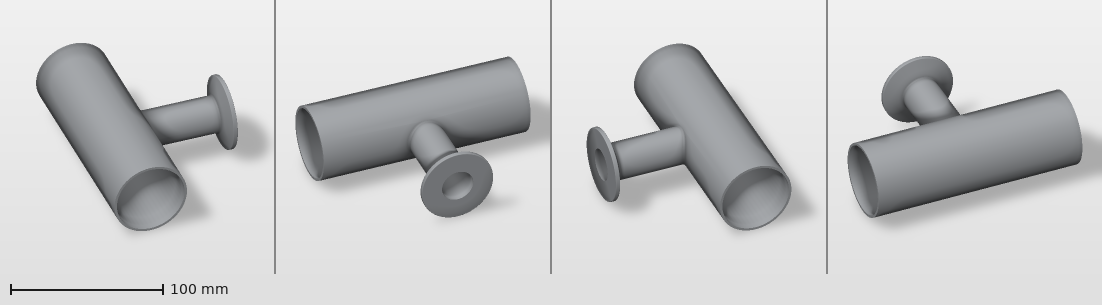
import cadquery as cq
import math

run_length = 146.0
run_outer_d = 50.8
run_inner_d = 47.5

branch_outer_d = 25.4
branch_inner_d = 22.0
branch_reach = 79.3
junction_fillet = 1.5

ferrule_length = 12.7
flange_d = 50.4
flange_rim = 2.9
flange_angle = 20.0
flange_edge_fillet = 0.5
neck_fillet = 1.2
circle_pick_size = 0.3

branch_outer_r = branch_outer_d / 2
flange_r = flange_d / 2


def rod_along_x(diameter):
    return cq.Workplane("YZ").circle(diameter / 2).extrude(run_length / 2, both=True)


def rod_along_y(diameter, length):
    """Rod from the run axis towards +Y."""
    return cq.Workplane("XZ").circle(diameter / 2).extrude(-length)


def make_tee_body():
    """Solid run and branch with a weld fillet where they meet."""
    branch_end = branch_reach - ferrule_length
    body = rod_along_x(run_outer_d).union(rod_along_y(branch_outer_d, branch_end))
    return body.edges("%BSPLINE").fillet(junction_fillet)


def fillet_circle_at(body, y, radius):
    """Round the circular edge about Y whose centre lies at the given y."""
    half = circle_pick_size / 2
    pick = cq.selectors.BoxSelector((-half, y - half, -half), (half, y + half, half))
    return body.edges("%CIRCLE").edges(pick).fillet(radius)


def make_ferrule():
    """Solid of revolution about Y: short neck, conical flange back and flat rim."""
    neck_start = branch_reach - ferrule_length
    rim_start = branch_reach - flange_rim
    cone_height = (flange_r - branch_outer_r) * math.tan(math.radians(flange_angle))
    cone_start = rim_start - cone_height
    ferrule = (
        cq.Workplane("XY")
        .moveTo(0, neck_start)
        .lineTo(branch_outer_r, neck_start)
        .lineTo(branch_outer_r, cone_start)
        .lineTo(flange_r, rim_start)
        .lineTo(flange_r, branch_reach)
        .lineTo(0, branch_reach)
        .close()
        .revolve(360, (0, 0, 0), (0, 1, 0))
    )

    ferrule = fillet_circle_at(ferrule, cone_start, neck_fillet)
    ferrule = fillet_circle_at(ferrule, rim_start, flange_edge_fillet)
    return fillet_circle_at(ferrule, branch_reach, flange_edge_fillet)


result = (
    make_tee_body()
    .union(make_ferrule())
    .cut(rod_along_y(branch_inner_d, branch_reach))
    .cut(rod_along_x(run_inner_d))
)